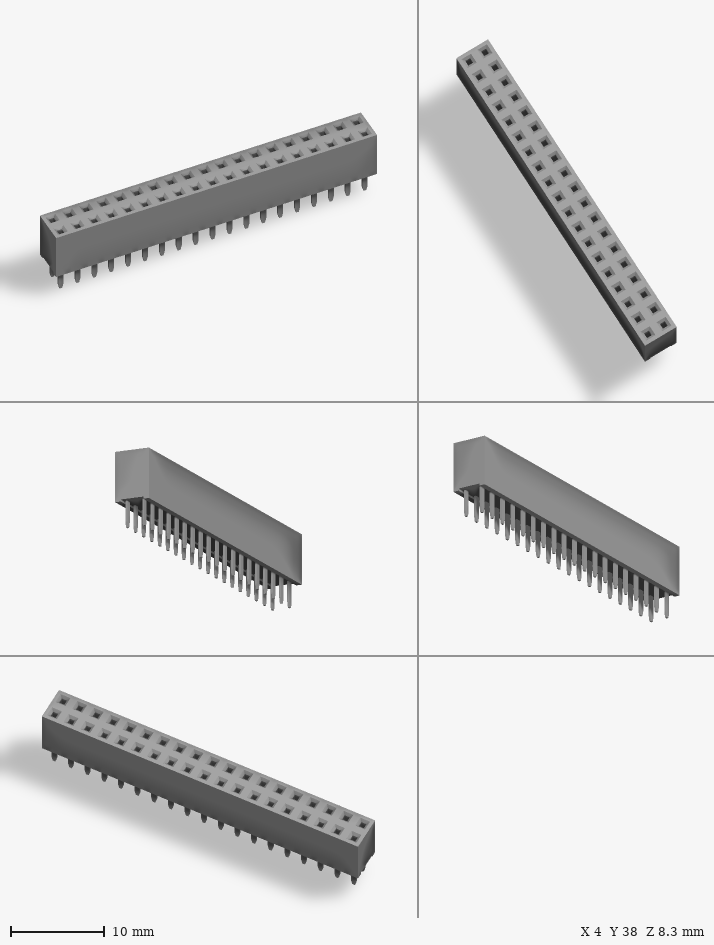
import cadquery as cq

length = 38.0
width = 4.0
total_height = 8.3
body_height = 5.6

row_count = 19
pitch = length / row_count
column_count = 2

channel_width = 2.65
channel_depth = 0.23

funnel_opening = 1.18
well_size = 0.6
funnel_depth = (funnel_opening - well_size) / 2
well_depth = 3.05

pin_thickness = 0.23
pin_width = well_size
pin_tip_width = 0.3
pin_tip_length = 0.6
pin_rise_in_well = 0.38

pin_tip_z = body_height - total_height
well_floor_z = body_height - well_depth
pin_top_z = well_floor_z + pin_rise_in_well


def make_body():
    body = cq.Workplane("XY").box(width, length, body_height, centered=(True, True, False))
    channel = cq.Workplane("XY").box(
        channel_width, length, channel_depth, centered=(True, True, False)
    )
    return body.cut(channel)


def make_socket():
    """Cutter for one socket, centred on the Z axis."""
    well = (
        cq.Workplane("XY")
        .workplane(offset=well_floor_z)
        .rect(well_size, well_size)
        .extrude(well_depth)
    )
    funnel = (
        cq.Workplane("XY")
        .workplane(offset=body_height - funnel_depth)
        .rect(well_size, well_size)
        .workplane(offset=funnel_depth)
        .rect(funnel_opening, funnel_opening)
        .loft()
    )
    return well.union(funnel)


def make_pin():
    """One flat pin, centred on the Z axis, narrowing in Y towards its lower end."""
    half_width = pin_width / 2
    half_tip = pin_tip_width / 2
    shoulder_z = pin_tip_z + pin_tip_length
    outline = [
        (-half_tip, pin_tip_z),
        (half_tip, pin_tip_z),
        (half_width, shoulder_z),
        (half_width, pin_top_z),
        (-half_width, pin_top_z),
        (-half_width, shoulder_z),
    ]
    return cq.Workplane("YZ").polyline(outline).close().extrude(pin_thickness / 2, both=True)


def at_every_contact(feature):
    """Copies of a feature at every position of the contact grid."""
    shape = feature.val()
    grid = cq.Workplane("XY").rarray(pitch, pitch, column_count, row_count)
    return grid.eachpoint(lambda place: shape.moved(place), combine=False)


def combined(copies):
    return cq.Workplane("XY").newObject([cq.Compound.makeCompound(copies.vals())])


result = make_body().cut(combined(at_every_contact(make_socket())))
result = result.union(combined(at_every_contact(make_pin())))